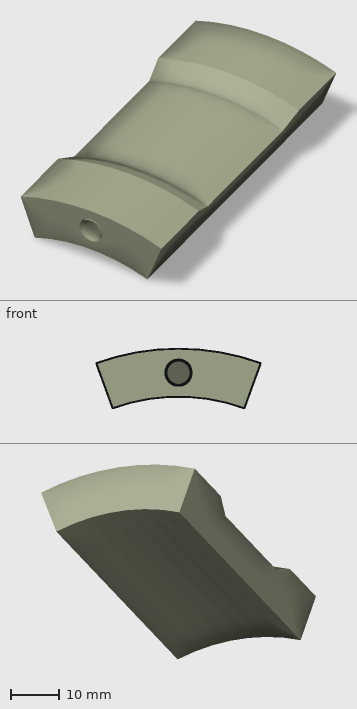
import cadquery as cq

outer_radius = 50.0
inner_radius = 40.0
sector_angle = 40.0
length = 70.0

waist_depth = 2.5
waist_floor_length = 30.0
waist_ramp_length = 5.0

bore_diameter = 5.5
bore_depth = 15.0
sleeve_inner_diameter = 5.0
sleeve_wall = 0.005


def segment_profile():
    """Radial section through the wall: radius along X, length along Y."""
    half_length = length / 2
    half_floor = waist_floor_length / 2
    half_waist = half_floor + waist_ramp_length
    waist_radius = outer_radius - waist_depth
    return (
        cq.Workplane("XY")
        .moveTo(inner_radius, -half_length)
        .lineTo(outer_radius, -half_length)
        .lineTo(outer_radius, -half_waist)
        .lineTo(waist_radius, -half_floor)
        .lineTo(waist_radius, half_floor)
        .lineTo(outer_radius, half_waist)
        .lineTo(outer_radius, half_length)
        .lineTo(inner_radius, half_length)
        .close()
    )


def ring_segment():
    """Revolve the section about Y, then turn the segment so it is centred on +Z."""
    segment = segment_profile().revolve(sector_angle, (0, 0, 0), (0, 1, 0))
    turn_to_top = -(90 + sector_angle / 2)
    return segment.rotate((0, 0, 0), (0, 1, 0), turn_to_top)


def end_cylinder(diameter):
    """Cylinder reaching from the -Y end face to the floor of the bore."""
    bore_height = (outer_radius + inner_radius) / 2
    end_face = cq.Workplane("XZ", origin=(0, -length / 2, bore_height))
    return end_face.circle(diameter / 2).extrude(-bore_depth)


def end_bore():
    """Material removed by the bore: the sleeve's inside and the gap around the sleeve."""
    sleeve_outer_diameter = sleeve_inner_diameter + 2 * sleeve_wall
    sleeve = end_cylinder(sleeve_outer_diameter).cut(end_cylinder(sleeve_inner_diameter))
    return end_cylinder(bore_diameter).cut(sleeve)


result = ring_segment().cut(end_bore())